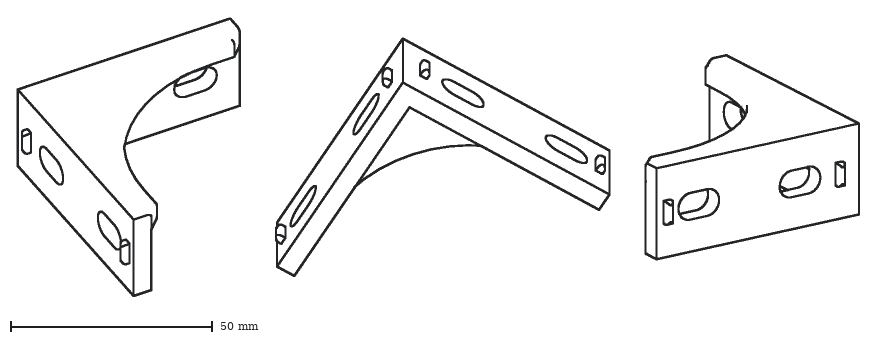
import cadquery as cq
import math

overall = 62.0
height = 24.0
tab_width = 2.0
tab_projection = tab_width
tab_length = 6.0
tip_clearance = 0.0005
leg_length = overall - tab_projection
leg_thickness = 8.5
wall_thickness = 5.0
web_thickness = wall_thickness
arc_end = 50.05
end_thickness = 5.0
edge_radius = 1.0
slot_length = 12.0
slot_height = 7.0
slot_centers = (17.5, 47.5)
tab_centers = (6.0, 57.0)

mid_height = height / 2
tip_bevel = leg_thickness - end_thickness
bevel_start = leg_length - tip_bevel
arc_radius = arc_end - leg_thickness
arc_mid = arc_end - arc_radius * math.sqrt(0.5)


def make_body():
    """Two perpendicular walls joined by a top web with a concave edge and beveled tips."""
    block = (
        cq.Workplane("XY")
        .lineTo(leg_length, 0)
        .lineTo(leg_length, end_thickness)
        .lineTo(bevel_start, leg_thickness)
        .lineTo(arc_end, leg_thickness)
        .threePointArc((arc_mid, arc_mid), (leg_thickness, arc_end))
        .lineTo(leg_thickness, bevel_start)
        .lineTo(end_thickness, leg_length)
        .lineTo(0, leg_length)
        .close()
        .extrude(height)
    )
    margin = 0.05
    inner_edges = cq.selectors.BoxSelector(
        (end_thickness + margin, end_thickness + margin, height - margin),
        (leg_length - margin, leg_length - margin, height + margin),
    )
    cavity = cq.Workplane("XY").box(leg_length, leg_length, height - web_thickness, centered=False)
    block = block.cut(cavity.translate((wall_thickness, wall_thickness, 0)))
    return block.faces(">Z").edges(inner_edges).fillet(edge_radius)


def make_slot(center):
    """Slot cutter that runs along +Y through the whole part."""
    return (
        cq.Workplane("XZ", origin=(center, 0, mid_height))
        .slot2D(slot_length, slot_height)
        .extrude(-leg_length)
    )


def make_tab(center):
    """Locating tab on the -Y face with a rounded tip and rounded ends that meet in miters."""
    radius = tab_width / 2
    depth = 2 * tab_projection
    across = (
        cq.Workplane("XY")
        .box(tab_width, depth, tab_length)
        .edges("|Z and <Y")
        .fillet(radius - tip_clearance)
    )
    along = (
        cq.Workplane("XY")
        .box(tab_width, depth, tab_length)
        .edges("|X and <Y")
        .fillet(radius)
    )
    return across.intersect(along).translate((center, 0, mid_height))


def mirror_to_other_leg(shape):
    """Swap X and Y so a feature of the -Y face lands on the -X face."""
    return shape.mirror("XZ").rotate((0, 0, 0), (0, 0, 1), 90)


result = make_body()
for center in slot_centers:
    slot = make_slot(center)
    result = result.cut(slot).cut(mirror_to_other_leg(slot))
for center in tab_centers:
    tab = make_tab(center)
    result = result.union(tab).union(mirror_to_other_leg(tab))